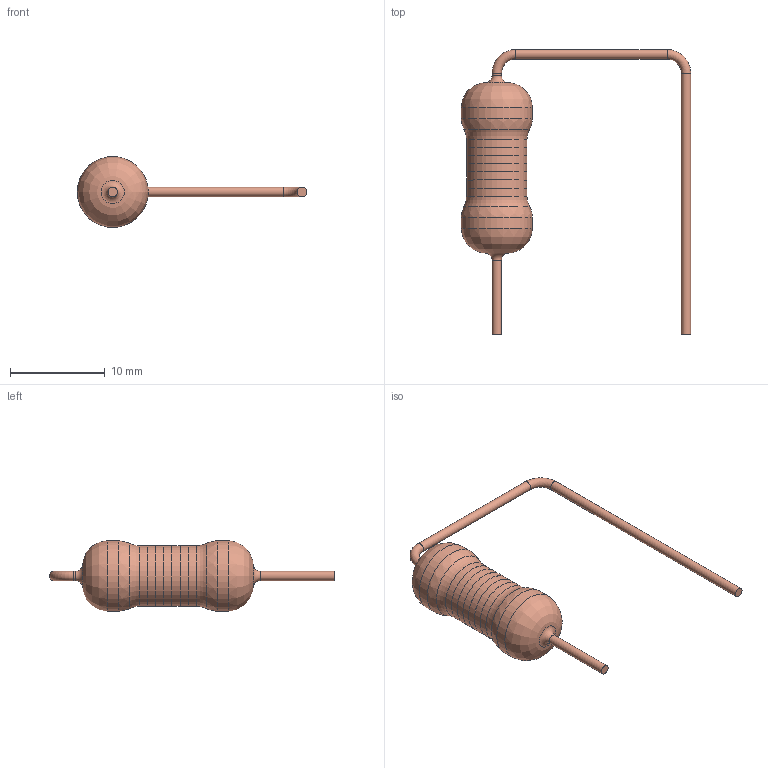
import cadquery as cq
import math


lead_diameter = 1.0
lead_pitch = 20.0
bend_radius = 2.0
return_run_y = 29.6
lead_radius = lead_diameter / 2

body_center_y = 17.6
bulb_radius = 7.5 / 2
waist_radius = 6.38 / 2
band_radius = 6.39 / 2
cap_radius = 2.6
flare_radius = 0.75

waist_half_length = 3.0
bulb_inner = 5.2
bulb_outer = 6.4
band_count = 4


def polar(center, radius, angle):
    """Point at an angle, in degrees from the radial (X) direction."""
    a = math.radians(angle)
    return (center[0] + radius * math.cos(a), center[1] + radius * math.sin(a))


def arc(sketch, center, radius, start_angle, end_angle):
    """Append an arc that starts at the sketch's current point."""
    middle_angle = (start_angle + end_angle) / 2
    return sketch.threePointArc(
        polar(center, radius, middle_angle),
        polar(center, radius, end_angle),
    )


def make_end():
    """Bulb at the +Y end: shoulder, cylinder, cap and flare, revolved about Y."""
    rise = bulb_radius - waist_radius
    run = bulb_inner - waist_half_length
    shoulder_radius = (rise**2 + run**2) / (4 * rise)
    shoulder_angle = math.degrees(math.asin(run / 2 / shoulder_radius))
    hollow_center = (waist_radius + shoulder_radius, waist_half_length)
    crest_center = (bulb_radius - shoulder_radius, bulb_inner)

    cap_center = (bulb_radius - cap_radius, bulb_outer)
    flare_x = lead_radius + flare_radius
    flare_offset = flare_x - cap_center[0]
    flare_angle = math.degrees(math.acos(flare_offset / (cap_radius + flare_radius)))
    flare_center = polar(cap_center, cap_radius + flare_radius, flare_angle)

    profile = cq.Workplane("XY").moveTo(0, waist_half_length).lineTo(waist_radius, waist_half_length)
    profile = arc(profile, hollow_center, shoulder_radius, 180, 180 - shoulder_angle)
    profile = arc(profile, crest_center, shoulder_radius, -shoulder_angle, 0)
    profile = profile.lineTo(bulb_radius, bulb_outer)
    profile = arc(profile, cap_center, cap_radius, 0, flare_angle)
    profile = arc(profile, flare_center, flare_radius, 180 + flare_angle, 180)
    profile = profile.lineTo(0, flare_center[1]).close()
    return profile.revolve(360, (0, 0, 0), (0, 1, 0))


def make_cylinder(radius, start_y, length):
    """Cylinder along +Y on the body axis."""
    return cq.Workplane("XZ", origin=(0, start_y, 0)).circle(radius).extrude(-length)


def make_body():
    """Waist with evenly spaced raised bands between two mirrored bulbs."""
    end = make_end()
    body = make_cylinder(waist_radius, -waist_half_length, 2 * waist_half_length)
    band_width = 2 * waist_half_length / (2 * band_count - 1)
    for index in range(band_count):
        band_start = -waist_half_length + 2 * index * band_width
        body = body.union(make_cylinder(band_radius, band_start, band_width))
    body = body.union(end).union(end.mirror("XZ"))
    return body.translate((0, body_center_y, 0))


def make_lead():
    """One wire through the body, bent over twice to a parallel return leg."""
    bend_y = return_run_y - bend_radius
    first_bend_center = (bend_radius, bend_y)
    second_bend_center = (lead_pitch - bend_radius, bend_y)
    path = cq.Workplane("XY").moveTo(0, 0).lineTo(0, bend_y)
    path = arc(path, first_bend_center, bend_radius, 180, 90)
    path = path.lineTo(lead_pitch - bend_radius, return_run_y)
    path = arc(path, second_bend_center, bend_radius, 90, 0)
    path = path.lineTo(lead_pitch, 0)
    return cq.Workplane("XZ").circle(lead_radius).sweep(path)


result = make_body().union(make_lead())